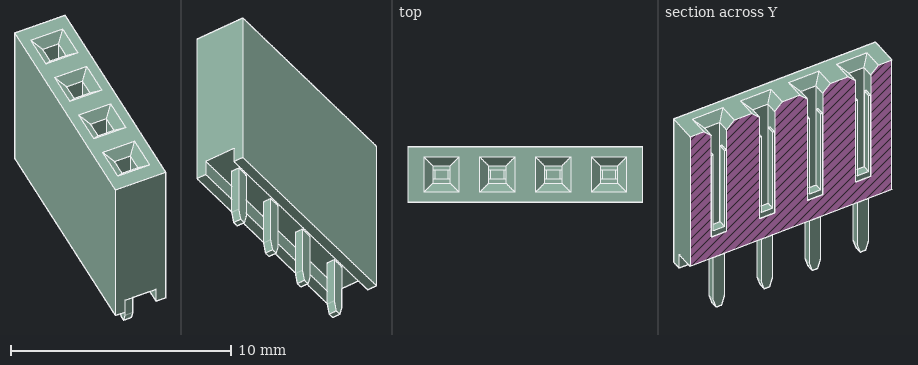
import cadquery as cq

HOUSING_LENGTH = 10.66
HOUSING_WIDTH = 2.54
TOTAL_HEIGHT = 10.7
PIN_PROTRUSION = 2.2
HOUSING_HEIGHT = TOTAL_HEIGHT - PIN_PROTRUSION
CHANNEL_WIDTH = 1.55
CHANNEL_DEPTH = 0.8

POSITIONS = 4
PITCH = 2.54
FUNNEL_SIZE = 1.6
WELL_SIZE = 0.79
FUNNEL_DEPTH = (FUNNEL_SIZE - WELL_SIZE) / 2
WELL_FLOOR_DEPTH = 6.42

CONTACT_THICKNESS = 0.4
FORK_GAP = 0.6
FORK_TOP_DEPTH = 1.6
FORK_WEB_HEIGHT = 0.32
PIN_WIDTH = 0.6
PIN_TIP_WIDTH = 0.29
PIN_TIP_LENGTH = 0.5

FUNNEL_BOTTOM = HOUSING_HEIGHT - FUNNEL_DEPTH
WELL_FLOOR = HOUSING_HEIGHT - WELL_FLOOR_DEPTH
FORK_TOP = HOUSING_HEIGHT - FORK_TOP_DEPTH
WEB_TOP = WELL_FLOOR + FORK_WEB_HEIGHT

contact_xs = [(i - (POSITIONS - 1) / 2) * PITCH for i in range(POSITIONS)]


def box_between(x_size, y_size, z_low, z_high):
    """Box centred on the Z axis between two levels."""
    base = cq.Workplane("XY").workplane(offset=z_low)
    return base.rect(x_size, y_size).extrude(z_high - z_low)


def make_housing():
    block = box_between(HOUSING_LENGTH, HOUSING_WIDTH, 0, HOUSING_HEIGHT)
    channel = box_between(HOUSING_LENGTH, CHANNEL_WIDTH, 0, CHANNEL_DEPTH)
    return block.cut(channel)


def make_socket():
    """Volume removed for one socket."""
    well = box_between(WELL_SIZE, WELL_SIZE, WELL_FLOOR, FUNNEL_BOTTOM)
    funnel = (
        cq.Workplane("XY")
        .workplane(offset=FUNNEL_BOTTOM)
        .rect(WELL_SIZE, WELL_SIZE)
        .workplane(offset=FUNNEL_DEPTH)
        .rect(FUNNEL_SIZE, FUNNEL_SIZE)
        .loft(ruled=True)
    )
    return well.union(funnel)


def make_fork():
    """Two prongs against the side walls of the well, joined by a low web."""
    plate = box_between(WELL_SIZE, CONTACT_THICKNESS, WELL_FLOOR, FORK_TOP)
    gap = box_between(FORK_GAP, CONTACT_THICKNESS, WEB_TOP, FORK_TOP)
    return plate.cut(gap)


def make_pin():
    """Flat pin from the channel roof down to a tapered tip."""
    tip_z = -PIN_PROTRUSION
    shoulder_z = tip_z + PIN_TIP_LENGTH
    outline = [
        (-PIN_WIDTH / 2, CHANNEL_DEPTH),
        (-PIN_WIDTH / 2, shoulder_z),
        (-PIN_TIP_WIDTH / 2, tip_z),
        (PIN_TIP_WIDTH / 2, tip_z),
        (PIN_WIDTH / 2, shoulder_z),
        (PIN_WIDTH / 2, CHANNEL_DEPTH),
    ]
    return cq.Workplane("XZ").polyline(outline).close().extrude(CONTACT_THICKNESS / 2, both=True)


result = make_housing()
for x in contact_xs:
    result = result.cut(make_socket().translate((x, 0, 0)))
    result = result.union(make_fork().translate((x, 0, 0)))
    result = result.union(make_pin().translate((x, 0, 0)))